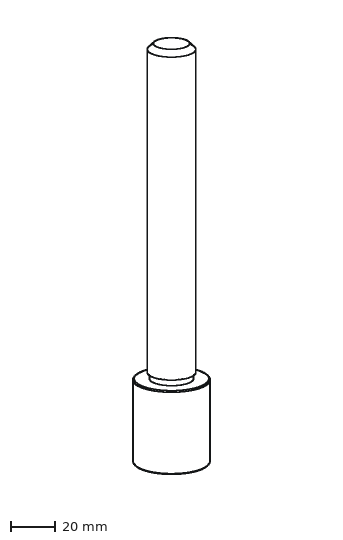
import cadquery as cq

total_length = 200.0
head_diameter = 35.0
head_length = 40.0
head_chamfer = 0.5
shank_diameter = 22.0
tip_chamfer = 2.8
neck_diameter = 20.0
neck_length = 3.0

head_radius = head_diameter / 2
shank_radius = shank_diameter / 2
neck_radius = neck_diameter / 2
neck_top = head_length + neck_length

profile = [
    (0, 0),
    (head_radius - head_chamfer, 0),
    (head_radius, head_chamfer),
    (head_radius, head_length - head_chamfer),
    (head_radius - head_chamfer, head_length),
    (neck_radius, head_length),
    (neck_radius, neck_top),
    (shank_radius, neck_top),
    (shank_radius, total_length - tip_chamfer),
    (shank_radius - tip_chamfer, total_length),
    (0, total_length),
]

result = cq.Workplane("XZ").polyline(profile).close().revolve(360, (0, 0, 0), (0, 1, 0))